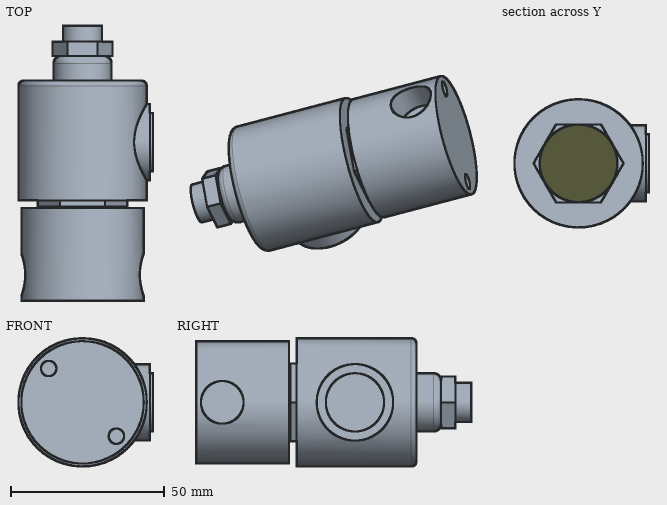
import cadquery as cq
import math

block_end = 30.4
washer_face_end = 30.8
lower_hex_end = 32.8
housing_end = 72.0
collar_end = 80.0
upper_hex_end = 84.6
total_length = 89.85

block_diameter = 40.0
port_diameter = 13.9
port_center = 8.5
port_floor_offset = 10.0
screw_hole_diameter = 5.0
screw_hole_offset = 11.05
screw_hole_depth = 10.0

housing_diameter = 42.0
housing_fillet = 1.8
lower_hex_across_flats = 25.4
washer_face_diameter = lower_hex_across_flats
collar_diameter = 19.05
collar_fillet = 2.4
upper_hex_across_flats = 17.0
nipple_diameter = 12.85

boss_center = 51.8
boss_diameter = 25.0
boss_end = 22.0
boss_lip_diameter = 19.05
boss_lip_end = 44.0 - housing_diameter / 2


def plane_at(start):
    """Plane across the main axis, facing +Y."""
    return cq.Workplane(cq.Plane(origin=(0, start, 0), xDir=(1, 0, 0), normal=(0, 1, 0)))


def axial_cylinder(diameter, start, end):
    return plane_at(start).circle(diameter / 2).extrude(end - start)


def axial_hexagon(across_flats, start, end):
    """Hexagon with two of its corners on the X direction."""
    across_corners = across_flats / math.cos(math.pi / 6)
    return plane_at(start).polygon(6, across_corners).extrude(end - start)


def cross_cylinder(diameter, center, start, end):
    """Cylinder along X whose axis meets the main axis."""
    return (
        cq.Workplane("YZ", origin=(start, 0, 0))
        .center(center, 0)
        .circle(diameter / 2)
        .extrude(end - start)
    )


def make_block():
    block = axial_cylinder(block_diameter, 0, block_end)
    for side in (-1, 1):
        block = block.cut(
            cross_cylinder(port_diameter, port_center, side * port_floor_offset, side * block_diameter / 2)
        )
    screw_hole = axial_cylinder(screw_hole_diameter, 0, screw_hole_depth)
    for side in (-1, 1):
        block = block.cut(screw_hole.translate((side * screw_hole_offset, 0, -side * screw_hole_offset)))
    return block


def make_union():
    housing = axial_cylinder(housing_diameter, lower_hex_end, housing_end)
    housing = housing.faces(">Y").edges().fillet(housing_fillet)
    collar = axial_cylinder(collar_diameter, housing_end, collar_end)
    collar = collar.faces(">Y").edges().fillet(collar_fillet)
    return (
        housing
        .union(collar)
        .union(axial_cylinder(washer_face_diameter, block_end, washer_face_end))
        .union(axial_hexagon(lower_hex_across_flats, washer_face_end, lower_hex_end))
        .union(axial_hexagon(upper_hex_across_flats, collar_end, upper_hex_end))
        .union(axial_cylinder(nipple_diameter, upper_hex_end, total_length))
        .union(cross_cylinder(boss_diameter, boss_center, 0, boss_end))
        .union(cross_cylinder(boss_lip_diameter, boss_center, boss_end, boss_lip_end))
    )


mounting_block = make_block()
rotary_union = make_union()

result = cq.Compound.makeCompound([mounting_block.val(), rotary_union.val()])